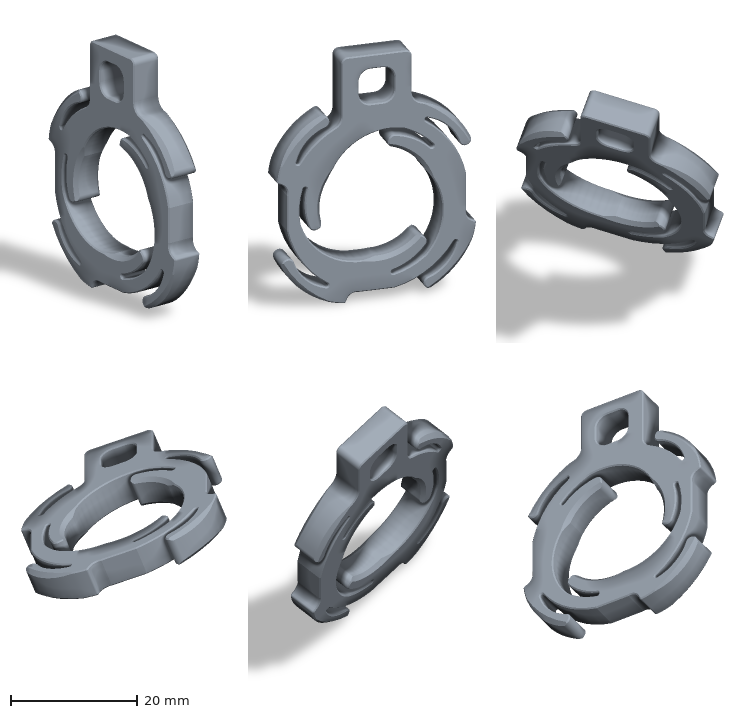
import cadquery as cq
import math

thickness = 5.0
edge_chamfer = 0.2

body_radius = 15.28
flat_distance = 15.0
hole_radius = 12.9
root_radius = 14.05

tab_width = 11.7
tab_top = 25.4
tab_corner_radius = 1.0
window_size = 6.0
window_center_z = 19.98
window_corner_radius = 2.0

blend_radius = 2.0
step_blend_radius = 1.68
ramp_blend_radius = 4.2
tip_radius = 1.0

outer_arm_count = 4
outer_arm_direction = 222.3
outer_face_radius = 13.0
outer_face_shift = 5.45
outer_slot_radius = 7.65
outer_slot_shift = 8.95
outer_tip_angle = 207.7
outer_slot_end_angle = 237.4
outer_slot_bottom_angle = 238.6
step_angle = 252.5
step_foot_angle = 253.4
step_corner_radius = 0.38

inner_arm_count = 3
inner_face_radius = 9.4
ramp_radius = 10.58
ramp_shift = 2.75
ramp_direction = 39.8
ramp_end_angle = 149
inner_slot_radius = 10.55
inner_slot_shift = 1.75
inner_slot_direction = 147
inner_tip_angle = 199.2
inner_slot_end_angle = 162.7
inner_slot_bottom_angle = 161.3

ramp_start_angle = ramp_direction + math.degrees(
    math.acos((hole_radius**2 + ramp_shift**2 - ramp_radius**2) / (2 * hole_radius * ramp_shift))
)

outer_lead_in_radius = 17.75
inner_lead_in_radius = 10.05
lead_in_stock_radius = 25.2
tab_guard_width = 14.25
tab_guard_height = 41.95
tab_guard_depth = 8.4
tab_arm_joint_z = 17.2


def polar(radius, angle):
    return radius * math.cos(math.radians(angle)), radius * math.sin(math.radians(angle))


def on_shifted_circle(radius, shift, direction, angle):
    """Point at a polar angle about the ring axis, on a circle whose centre is shifted off that axis."""
    turn = math.radians(angle - direction)
    reach = shift * math.cos(turn) + math.sqrt(radius**2 - (shift * math.sin(turn)) ** 2)
    return polar(reach, angle)


def plane():
    """Sketch plane on the -Y face: sketch x is X and sketch y is Z."""
    return cq.Workplane("XZ", origin=(0, -thickness / 2, 0))


def extrude(sketch):
    return sketch.extrude(-thickness)


def fillet_at(solid, point, radius):
    """Round the edge through the thickness that is nearest to the given (x, z) point."""
    edge = solid.edges("|Y").edges(cq.NearestToPointSelector((point[0], 0, point[1])))
    return edge.fillet(radius)


def copies(solid, count):
    for index in range(count):
        yield solid.rotate((0, 0, 0), (0, -1, 0), index * 360 / count)


def outer_arm():
    def face(angle):
        return on_shifted_circle(outer_face_radius, outer_face_shift, outer_arm_direction, angle)

    def slot(angle):
        return on_shifted_circle(outer_slot_radius, outer_slot_shift, outer_arm_direction, angle)

    slot_gap_radius = (body_radius + math.hypot(*slot(outer_slot_end_angle))) / 2
    arm = extrude(
        plane()
        .moveTo(*polar(root_radius, step_foot_angle))
        .lineTo(*polar(body_radius, step_foot_angle))
        .lineTo(*face(step_angle))
        .threePointArc(face(outer_arm_direction), face(outer_tip_angle))
        .lineTo(*slot(outer_tip_angle))
        .threePointArc(slot(outer_arm_direction), slot(outer_slot_end_angle))
        .threePointArc(polar(slot_gap_radius, outer_slot_bottom_angle), polar(body_radius, outer_slot_end_angle))
        .lineTo(*polar(root_radius, outer_slot_end_angle))
        .close()
    )
    arm = fillet_at(arm, face(outer_tip_angle), tip_radius)
    arm = fillet_at(arm, slot(outer_tip_angle), tip_radius)
    return fillet_at(arm, face(step_angle), step_corner_radius)


def inner_arm():
    def ramp(angle):
        return on_shifted_circle(ramp_radius, ramp_shift, ramp_direction, angle)

    def slot(angle):
        return on_shifted_circle(inner_slot_radius, inner_slot_shift, inner_slot_direction, angle)

    slot_gap_radius = (hole_radius + math.hypot(*slot(inner_slot_end_angle))) / 2
    face_start = ramp(ramp_end_angle)
    face_end = polar(inner_face_radius, inner_tip_angle)
    arm = extrude(
        plane()
        .moveTo(*polar(root_radius, ramp_start_angle))
        .lineTo(*ramp(ramp_start_angle))
        .threePointArc(ramp((ramp_start_angle + ramp_end_angle) / 2), face_start)
        .threePointArc(polar(inner_face_radius, (ramp_end_angle + inner_tip_angle) / 2), face_end)
        .lineTo(*slot(inner_tip_angle))
        .threePointArc(slot((inner_tip_angle + inner_slot_end_angle) / 2), slot(inner_slot_end_angle))
        .threePointArc(polar(slot_gap_radius, inner_slot_bottom_angle), polar(hole_radius, inner_slot_end_angle))
        .lineTo(*polar(root_radius, inner_slot_end_angle))
        .threePointArc(polar(root_radius, (inner_slot_end_angle + ramp_start_angle) / 2),
                       polar(root_radius, ramp_start_angle))
        .close()
    )
    arm = fillet_at(arm, face_end, tip_radius)
    return fillet_at(arm, slot(inner_tip_angle), tip_radius)


def ring():
    disc = extrude(plane().circle(body_radius))
    flats = extrude(plane().rect(2 * flat_distance, 2 * flat_distance))
    return disc.intersect(flats)


def tab():
    height = tab_top - root_radius
    block = extrude(plane().center(0, root_radius + height / 2).rect(tab_width, height))
    block = fillet_at(block, (-tab_width / 2, tab_top), tab_corner_radius)
    return fillet_at(block, (tab_width / 2, tab_top), tab_corner_radius)


def window():
    block = extrude(plane().center(0, window_center_z).rect(window_size, window_size))
    return block.edges("|Y").fillet(window_corner_radius)


def cone_pair(face_radius, slope):
    """Round body about Y whose radius changes at 45 degrees from each face to mid-thickness."""
    half = thickness / 2
    return (
        cq.Workplane("XY")
        .moveTo(0, -half)
        .lineTo(face_radius, -half)
        .lineTo(face_radius + slope * half, 0)
        .lineTo(face_radius, half)
        .lineTo(0, half)
        .close()
        .revolve(360, (0, 0, 0), (0, 1, 0))
    )


part = ring().union(tab())
for arm in copies(outer_arm(), outer_arm_count):
    part = part.union(arm)
part = part.cut(extrude(plane().circle(hole_radius)))
for arm in copies(inner_arm(), inner_arm_count):
    part = part.union(arm)
part = part.cut(window()).clean()

for turn in (0, 90, 270):
    part = fillet_at(part, polar(body_radius, step_foot_angle + turn), step_blend_radius)
tab_side = tab_width / 2
part = fillet_at(part, (-tab_side, math.sqrt(body_radius**2 - tab_side**2)), blend_radius)
part = fillet_at(part, (tab_side, tab_arm_joint_z), blend_radius)

for index in range(inner_arm_count):
    turn = index * 360 / inner_arm_count
    part = fillet_at(part, polar(hole_radius, ramp_start_angle + turn), ramp_blend_radius)

part = part.faces("<Y or >Y").chamfer(edge_chamfer)

tab_guard = cq.Workplane("XY").box(tab_guard_width, tab_guard_depth, tab_guard_height)
tab_guard = tab_guard.translate((0, 0, tab_guard_height / 2))
outer_lead_in = extrude(plane().circle(lead_in_stock_radius)).cut(cone_pair(outer_lead_in_radius, 1))
outer_lead_in = outer_lead_in.cut(tab_guard)
result = part.cut(outer_lead_in).cut(cone_pair(inner_lead_in_radius, -1))